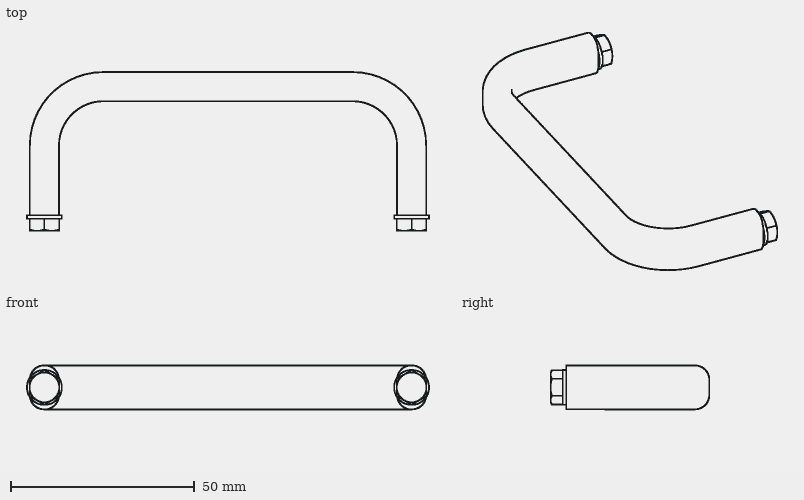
import cadquery as cq
import math

overall_length = 109.5
overall_depth = 43.3
bar_width = 8.0
bar_height = 12.0
bend_outer_radius = 20.0
washer_diameter = 9.5
washer_thickness = 1.0
hex_across_flats = 8.1
hex_height = 3.3
hex_chamfer_angle = 30.0

leg_x = (overall_length - washer_diameter) / 2
bend_radius = bend_outer_radius - bar_width / 2
bar_depth = overall_depth - washer_thickness - hex_height
grip_y = bar_depth - bar_width / 2
bend_y = grip_y - bend_radius
grip_half_length = leg_x - bend_radius
bend_mid_offset = bend_radius * math.sqrt(0.5)


def make_bar():
    """Sweep the flat-oval section up one leg, along the grip and down the other leg."""
    path = (
        cq.Workplane("XY")
        .moveTo(-leg_x, 0)
        .lineTo(-leg_x, bend_y)
        .threePointArc(
            (-grip_half_length - bend_mid_offset, bend_y + bend_mid_offset),
            (-grip_half_length, grip_y),
        )
        .lineTo(grip_half_length, grip_y)
        .threePointArc(
            (grip_half_length + bend_mid_offset, bend_y + bend_mid_offset),
            (leg_x, bend_y),
        )
        .lineTo(leg_x, 0)
    )
    section = cq.Workplane("XZ", origin=(-leg_x, 0, 0)).slot2D(bar_height, bar_width, 90)
    return section.sweep(path)


def make_hex_head():
    """Hexagon with corners toward +Z and -Z, its outer corners turned to a cone."""
    across_corners = hex_across_flats / math.cos(math.pi / 6)
    corner_inset = (across_corners - hex_across_flats) / 2
    chamfer_height = corner_inset * math.tan(math.radians(hex_chamfer_angle))
    start = cq.Workplane("XZ", origin=(0, -washer_thickness, 0))
    prism = start.transformed(rotate=(0, 0, 90)).polygon(6, across_corners).extrude(hex_height)
    turned_blank = (
        start.circle(across_corners / 2)
        .extrude(hex_height)
        .faces("<Y")
        .chamfer(chamfer_height, corner_inset)
    )
    return prism.intersect(turned_blank)


def make_foot():
    """Washer and hex head, centred under a leg end at the origin."""
    washer = cq.Workplane("XZ").circle(washer_diameter / 2).extrude(washer_thickness)
    return washer.union(make_hex_head())


result = make_bar()
for foot_x in (-leg_x, leg_x):
    result = result.union(make_foot().translate((foot_x, 0, 0)))